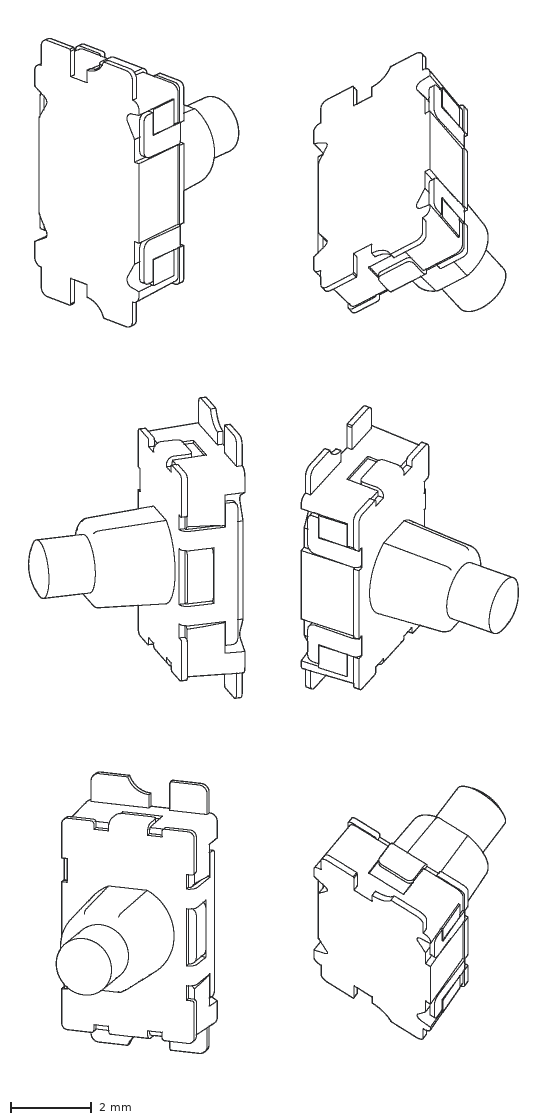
import cadquery as cq
import math


LENGTH = 7.0
SHEET = 0.15

HOUSING_X = 3.515
HOUSING_Z = 5.515
HOUSING_TOP = 1.5
HOUSING_DRAFT = 2.0
HOUSING_CORNER = 0.21
SIDE_X = HOUSING_X / 2
END_Z = HOUSING_Z / 2

EAR_HALF_X = 1.54
EAR_CORNER = 0.21
EAR_GAP_LEFT = -0.545
EAR_GAP_RIGHT = 0.0
EAR_BITE_RADIUS = 0.6
EAR_BITE_FLOOR = 3.1

COVER_TOP = 1.65
COVER_CORNER = 0.16
BEND_RADIUS = 0.21
END_RELIEF_HALF_X = 0.9
SIDE_RELIEF_HALF_Z = 1.64
RELIEF_ROUND = 0.07

END_TAB_HALF_X = 0.52
END_TAB_Z = 2.81
END_TAB_BOTTOM = 0.95
END_TAB_CORNER = 0.14
END_GROOVE_BOTTOM = 0.61
END_GROOVE_CLEARANCE = 0.01

CLIP_FACE_X = SIDE_X - SHEET
HOOK_BOTTOM = 0.19
HOOK_TOP = 0.51
HOOK_CORNER = 0.15
CLIP_HALF_Z = 1.26
CLIP_BAR_HALF_Z = 1.9
CLIP_POCKET_HALF_Z = 1.31
CLIP_POCKET_END_Z = 2.12
CLIP_POCKET_TIP = (1.855, -1.295)
CLIP_POCKET_ROUND = 0.14
CLIP_GROOVE_TOP_Z = 1.43
CLIP_GROOVE_LOW_Z = 1.295
WINDOW_HALF_Z = 0.74
WINDOW_BOTTOM = 0.805
LATCH_CLEARANCE = 0.02
LATCH_ROUND = 0.19

HOOK_INNER_Z = 1.13
HOOK_NECK_Z = 1.7
HOOK_OUTER_Z = 2.31
HOOK_INNER_ROUND = 0.21
HOOK_SLOT_Z = 1.085
PAD_X = 1.785
PAD_TOP_X = 1.75
PAD_TOP = 1.3
PAD_OUTER_Z = 2.41
HOOK_POCKET_TIP = (2.33, 1.25)
HOOK_POCKET_ROUND = 0.175

NECK_RADIUS = 1.225
NECK_FLAT_Z = 1.11
NECK_TOP = 3.58
NECK_DRAFT = 3.2
FLAT_DRAFT = 2.8
NECK_ROUND = 0.18
PLUNGER_RADIUS = 0.735
DOME_START = 4.79
DOME_TOP = 5.02


def block(x0, x1, y0, y1, z0, z1):
    """Box given by its limits along each axis."""
    return cq.Workplane("XY").box(x1 - x0, y1 - y0, z1 - z0, centered=False).translate((x0, y0, z0))


def level(y):
    """Sketch plane facing +Y at height y; sketch coordinates are (Z, X)."""
    return cq.Workplane("ZX", origin=(0, y, 0))


def both_ends(solid):
    """The solid together with its mirror image across the XY plane."""
    return solid.union(solid.mirror("XY"))


def make_housing():
    housing = level(0).rect(HOUSING_Z, HOUSING_X).extrude(HOUSING_TOP, taper=HOUSING_DRAFT)
    housing = housing.edges("not #Y").fillet(HOUSING_CORNER)
    groove_x = END_TAB_HALF_X + END_GROOVE_CLEARANCE
    groove_z = END_TAB_Z - SHEET
    groove = block(-groove_x, groove_x, END_GROOVE_BOTTOM, HOUSING_TOP, groove_z, END_Z)
    return housing.cut(both_ends(groove))


def make_ears():
    ears = level(0).rect(LENGTH, 2 * EAR_HALF_X).extrude(SHEET).edges("|Y").fillet(EAR_CORNER)
    gap = block(EAR_GAP_LEFT, EAR_GAP_RIGHT, 0, SHEET, END_Z - SHEET, LENGTH / 2)
    bite_center = EAR_BITE_FLOOR + EAR_BITE_RADIUS
    bite = level(0).center(bite_center, EAR_GAP_RIGHT).circle(EAR_BITE_RADIUS).extrude(SHEET)
    return ears.cut(both_ends(gap.union(bite)))


def make_cover():
    cover = level(HOUSING_TOP).rect(HOUSING_Z, HOUSING_X).extrude(COVER_TOP - HOUSING_TOP)
    cover = cover.edges("|Y").fillet(COVER_CORNER)
    end_relief = block(-END_RELIEF_HALF_X, END_RELIEF_HALF_X, HOUSING_TOP, COVER_TOP,
                       END_Z - BEND_RADIUS, END_Z)
    side_relief = block(-SIDE_X, -SIDE_X + BEND_RADIUS, HOUSING_TOP, COVER_TOP,
                        -SIDE_RELIEF_HALF_Z, SIDE_RELIEF_HALF_Z)
    cover = cover.cut(both_ends(end_relief)).cut(side_relief)
    mouths = [(side * END_RELIEF_HALF_X, end * END_Z) for side in (-1, 1) for end in (-1, 1)]
    mouths += [(-SIDE_X, end * SIDE_RELIEF_HALF_Z) for end in (-1, 1)]
    for x, z in mouths:
        corner = cq.selectors.NearestToPointSelector((x, (HOUSING_TOP + COVER_TOP) / 2, z))
        cover = cover.edges(corner).fillet(RELIEF_ROUND)
    return cover


def make_end_tab():
    tab = block(-END_TAB_HALF_X, END_TAB_HALF_X, END_TAB_BOTTOM, COVER_TOP,
                END_TAB_Z - 2 * BEND_RADIUS, END_TAB_Z)
    tab = tab.edges("|X and >Y and >Z").fillet(BEND_RADIUS)
    return tab.edges("|Z and <Y").fillet(END_TAB_CORNER)


def make_neck():
    height = NECK_TOP - COVER_TOP
    cone = level(COVER_TOP).circle(NECK_RADIUS).extrude(height, taper=NECK_DRAFT)
    cone = cone.faces(">Y").edges().fillet(NECK_ROUND)
    flats = level(COVER_TOP).rect(2 * NECK_FLAT_Z, 4 * NECK_RADIUS).extrude(height, taper=FLAT_DRAFT)
    flats = flats.edges("|X and >Y").fillet(NECK_ROUND)
    return cone.intersect(flats)


def make_plunger():
    rise = DOME_TOP - DOME_START
    sphere_radius = (PLUNGER_RADIUS**2 + rise**2) / (2 * rise)
    half_angle = math.asin(PLUNGER_RADIUS / sphere_radius) / 2
    arc_mid = (sphere_radius * math.sin(half_angle),
               DOME_TOP - sphere_radius * (1 - math.cos(half_angle)))
    profile = (cq.Workplane("XY").moveTo(0, COVER_TOP).lineTo(PLUNGER_RADIUS, COVER_TOP)
               .lineTo(PLUNGER_RADIUS, DOME_START).threePointArc(arc_mid, (0, DOME_TOP)).close())
    return profile.revolve(360, (0, 0, 0), (0, 1, 0))


def pocket_corner(points, tip_round):
    """Three-sided pocket with a rounded tip; points are (Z, X) and the tip lies nearest X = 0."""
    pocket = level(0).polyline(points).close().extrude(HOOK_TOP)
    tip = "<X" if points[0][1] > 0 else ">X"
    return pocket.edges("|Y").edges(tip).fillet(tip_round)


def make_clip_pocket():
    wall_z = CLIP_POCKET_HALF_Z
    end = pocket_corner([(CLIP_POCKET_END_Z, -SIDE_X), CLIP_POCKET_TIP, (wall_z, -CLIP_FACE_X),
                         (wall_z, -SIDE_X)], CLIP_POCKET_ROUND)
    middle = block(-SIDE_X, -CLIP_FACE_X, 0, HOOK_TOP, -wall_z, wall_z)
    return both_ends(end).union(middle)


def make_clip_groove():
    """Groove for the clip whose side walls lean outwards, most at the top."""
    groove = cq.Workplane("YZ", origin=(-CLIP_FACE_X, 0, 0))
    groove = groove.polyline([(HOOK_TOP, -CLIP_HALF_Z), (HOUSING_TOP, -CLIP_HALF_Z),
                              (HOUSING_TOP, CLIP_HALF_Z), (HOOK_TOP, CLIP_HALF_Z)]).close()
    groove = groove.workplane(offset=-SHEET)
    groove = groove.polyline([(HOOK_TOP, -CLIP_GROOVE_LOW_Z), (HOUSING_TOP, -CLIP_GROOVE_TOP_Z),
                              (HOUSING_TOP, CLIP_GROOVE_TOP_Z), (HOOK_TOP, CLIP_GROOVE_LOW_Z)]).close()
    return groove.loft(ruled=True)


def make_clip():
    neck = block(-SIDE_X, -SIDE_X + 2 * BEND_RADIUS, HOOK_TOP, COVER_TOP, -CLIP_HALF_Z, CLIP_HALF_Z)
    neck = neck.edges("|Z and >Y and <X").fillet(BEND_RADIUS)
    bar = block(-SIDE_X, -CLIP_FACE_X, HOOK_BOTTOM, HOOK_TOP, -CLIP_BAR_HALF_Z, CLIP_BAR_HALF_Z)
    bar = bar.edges("|X and <Y").fillet(HOOK_CORNER)
    return neck.union(bar)


def make_latch_window():
    return block(-SIDE_X, -SIDE_X + BEND_RADIUS, WINDOW_BOTTOM, COVER_TOP, -WINDOW_HALF_Z, WINDOW_HALF_Z)


def make_latch():
    half_z = WINDOW_HALF_Z - LATCH_CLEARANCE / 2
    latch = block(-SIDE_X, -SIDE_X + LATCH_ROUND + SHEET, WINDOW_BOTTOM + LATCH_CLEARANCE, HOUSING_TOP,
                  -half_z, half_z)
    return latch.edges("|Y and <X").fillet(LATCH_ROUND)


def make_hook_pocket():
    pocket = pocket_corner([(PAD_OUTER_Z, SIDE_X), HOOK_POCKET_TIP, (HOOK_NECK_Z, CLIP_FACE_X),
                            (HOOK_NECK_Z, SIDE_X)], HOOK_POCKET_ROUND)
    slot = block(CLIP_FACE_X, SIDE_X, 0, COVER_TOP, HOOK_SLOT_Z, HOOK_NECK_Z)
    return both_ends(pocket.union(slot))


def make_hooks():
    pad = cq.Workplane("XY", origin=(0, 0, HOOK_NECK_Z))
    pad = pad.polyline([(CLIP_FACE_X, HOOK_TOP), (PAD_X, HOOK_TOP), (PAD_TOP_X, PAD_TOP),
                        (CLIP_FACE_X, PAD_TOP)]).close().extrude(PAD_OUTER_Z - HOOK_NECK_Z)
    neck = block(SIDE_X - 2 * BEND_RADIUS, SIDE_X, HOOK_TOP, COVER_TOP, HOOK_INNER_Z, HOOK_NECK_Z)
    neck = neck.edges("|Z and >Y and >X").fillet(BEND_RADIUS)
    bar = block(CLIP_FACE_X, SIDE_X, HOOK_BOTTOM, HOOK_TOP, HOOK_INNER_Z, HOOK_OUTER_Z)
    bar = bar.edges("|X and <Y and <Z").fillet(HOOK_INNER_ROUND)
    bar = bar.edges("|X and <Y and >Z").fillet(HOOK_CORNER)
    return both_ends(pad.union(neck).union(bar))


result = make_housing()
result = result.union(make_ears()).union(make_cover()).union(both_ends(make_end_tab()))
result = result.union(make_neck()).union(make_plunger())
result = result.cut(make_clip_pocket()).cut(make_clip_groove()).union(make_clip())
result = result.cut(make_latch_window()).union(make_latch())
result = result.cut(make_hook_pocket()).union(make_hooks())